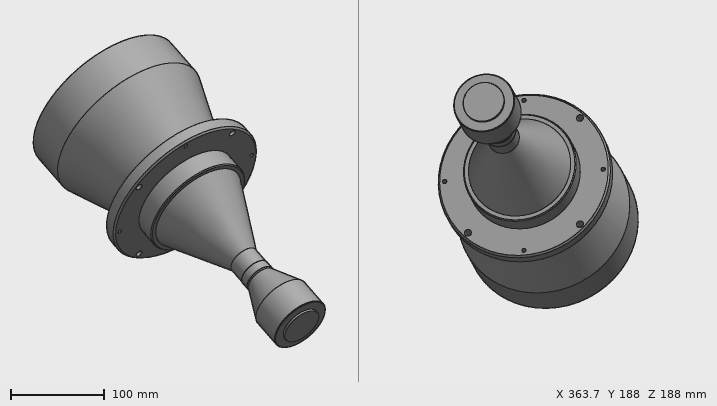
import cadquery as cq
import math

front_radius = 94.0
waist_radius = 63.5
flange_radius = front_radius
hub_radius = 61.5
rear_cone_radius = 55.8
neck_radius = 17.0
collar_radius = 17.4
end_radius = 33.3
spigot_radius = 22.3

front_cone_angle = 20.0

front_cylinder_end = 45.0
front_cone_end = front_cylinder_end + (front_radius - waist_radius) / math.tan(math.radians(front_cone_angle))
flange_front = 134.0
flange_back = flange_front + 15.5
hub_end = 172.5
neck_start = 256.4
collar_start = 276.7
collar_end = 286.6
neck_end = 288.5
end_cylinder_start = 325.5
end_cylinder_end = 361.0
total_length = 363.7

waist_fillet = 4.0
flange_rounding = 2.0
flange_chamfer = 2.0
hub_chamfer = 1.2
end_chamfer = 0.8

hole_circle_radius = 86.5
large_hole_diameter = 7.5
small_hole_diameter = 4.5
holes_per_set = 4


def turned_body():
    """Solid of revolution; the profile is (station along X, radius)."""
    profile = (
        cq.Workplane("XZ")
        .moveTo(0, 0)
        .lineTo(0, front_radius)
        .lineTo(front_cylinder_end, front_radius)
        .lineTo(front_cone_end, waist_radius)
        .lineTo(flange_front - waist_fillet, waist_radius)
        .radiusArc((flange_front, waist_radius + waist_fillet), -waist_fillet)
        .lineTo(flange_front, flange_radius - flange_rounding)
        .radiusArc((flange_front + flange_rounding, flange_radius), flange_rounding)
        .lineTo(flange_back - flange_chamfer, flange_radius)
        .lineTo(flange_back, flange_radius - flange_chamfer)
        .lineTo(flange_back, hub_radius)
        .lineTo(hub_end - hub_chamfer, hub_radius)
        .lineTo(hub_end, hub_radius - hub_chamfer)
        .lineTo(hub_end, rear_cone_radius)
        .lineTo(neck_start, neck_radius)
        .lineTo(collar_start, neck_radius)
        .lineTo(collar_start, collar_radius)
        .lineTo(collar_end, collar_radius)
        .lineTo(collar_end, neck_radius)
        .lineTo(neck_end, neck_radius)
        .lineTo(end_cylinder_start, end_radius)
        .lineTo(end_cylinder_end - end_chamfer, end_radius)
        .lineTo(end_cylinder_end, end_radius - end_chamfer)
        .lineTo(end_cylinder_end, spigot_radius)
        .lineTo(total_length, spigot_radius)
        .lineTo(total_length, 0)
        .close()
    )
    return profile.revolve(360, (0, 0, 0), (1, 0, 0))


def flange_holes(diameter, start_angle):
    """Evenly spaced cylinders running through the flange thickness."""
    return (
        cq.Workplane("YZ", origin=(flange_front, 0, 0))
        .polarArray(hole_circle_radius, start_angle, 360, holes_per_set)
        .circle(diameter / 2)
        .extrude(flange_back - flange_front)
    )


result = (
    turned_body()
    .cut(flange_holes(large_hole_diameter, 45))
    .cut(flange_holes(small_hole_diameter, 0))
)